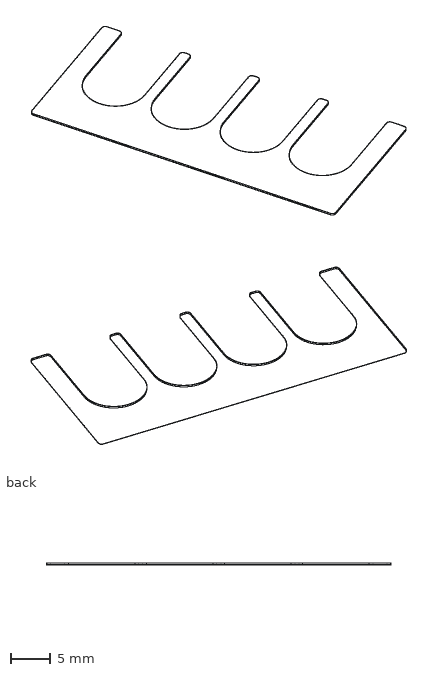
import cadquery as cq

length = 44.0
width = 20.0
thickness = 0.25
corner_radius = 0.5

slot_count = 4
slot_pitch = 10.0
slot_width = 8.5
slot_floor = 5.8

slot_radius = slot_width / 2
back_edge = width / 2
slot_center_y = -back_edge + slot_floor + slot_radius


def open_slot(center_x):
    """Cutter with a round bottom and straight sides running out of the +Y edge."""
    left = center_x - slot_radius
    right = center_x + slot_radius
    return (
        cq.Workplane("XY")
        .moveTo(left, back_edge)
        .lineTo(left, slot_center_y)
        .threePointArc((center_x, slot_center_y - slot_radius), (right, slot_center_y))
        .lineTo(right, back_edge)
        .close()
        .extrude(thickness)
    )


plate = cq.Workplane("XY").box(length, width, thickness, centered=(True, True, False))

for index in range(slot_count):
    plate = plate.cut(open_slot((index - (slot_count - 1) / 2) * slot_pitch))

tip_corners = plate.faces(">Y").edges("|Z")
base_corners = plate.faces("<Y").edges("|Z")
result = plate.newObject(tip_corners.vals() + base_corners.vals()).fillet(corner_radius)